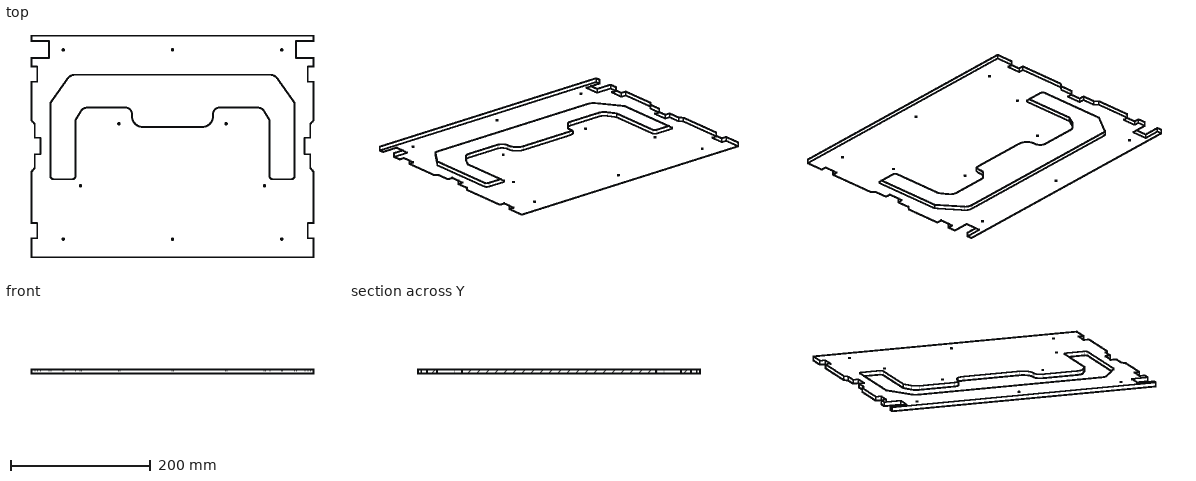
import cadquery as cq

length = 404.0
width = 317.0
thickness = 6.0
half_length = length / 2

corner_notch_depth = 25.0
corner_notch_bottom = 285.2
corner_notch_top = 309.5
tab_notch_depth = 8.0
tab_notch_height = 21.5
tab_notch_bottoms = (27.5, 251.3)

recess_middle = 159.0
recess_depth = 5.0
recess_mouth_half = 36.8
recess_floor_half = 31.5
slot_depth = 13.0
slot_half = 11.5

window_half_length = 174.5
window_bottom = 112.0
window_top = 261.0
window_corner_run = 28.3
window_corner_rise = 40.0
window_top_radius = 12.0
window_bottom_radius = 4.0

tongue_half_length = 139.0
tongue_top = 214.5
tongue_corner_run = 11.0
tongue_corner_rise = 18.0
tongue_corner_radius = 12.0
tongue_dip_half_length = 57.8
tongue_dip_bottom = 186.5
dip_top_radius = 10.0
dip_bottom_radius = 15.0

hole_diameter = 2.0
outer_hole_x = 156.5
outer_hole_rows = (26.0, 297.0)
tongue_hole = (76.8, 191.0)
shoulder_hole = (131.7, 102.2)


def prism(points):
    """Extrude a closed outline through the plate thickness."""
    return cq.Workplane("XY").polyline(points).close().extrude(thickness)


def block(x_min, x_max, y_min, y_max):
    """Rectangular cutter through the plate thickness."""
    return prism([(x_min, y_min), (x_max, y_min), (x_max, y_max), (x_min, y_max)])


def round_corners(body, corners, radius):
    """Fillet the vertical edges at the given corners and at their mirror images."""
    for x, y in corners:
        for side in (-1, 1):
            nearest = cq.selectors.NearestToPointSelector((side * x, y, thickness / 2))
            body = body.edges("|Z").edges(nearest).fillet(radius)
    return body


def edge_cutter():
    """All cutouts in the +X short edge."""
    cutter = block(half_length - corner_notch_depth, half_length, corner_notch_bottom, corner_notch_top)
    for bottom in tab_notch_bottoms:
        cutter = cutter.union(
            block(half_length - tab_notch_depth, half_length, bottom, bottom + tab_notch_height)
        )
    recess_floor_x = half_length - recess_depth
    recess = prism([
        (half_length, recess_middle - recess_mouth_half),
        (half_length, recess_middle + recess_mouth_half),
        (recess_floor_x, recess_middle + recess_floor_half),
        (recess_floor_x, recess_middle - recess_floor_half),
    ])
    slot = block(
        half_length - slot_depth, half_length, recess_middle - slot_half, recess_middle + slot_half
    )
    return cutter.union(recess).union(slot)


def window_frame():
    """Outer boundary of the window, with cut-off rear corners."""
    corner_x = window_half_length - window_corner_run
    frame = prism([
        (-window_half_length, window_bottom),
        (window_half_length, window_bottom),
        (window_half_length, window_top - window_corner_rise),
        (corner_x, window_top),
        (-corner_x, window_top),
        (-window_half_length, window_top - window_corner_rise),
    ])
    frame = round_corners(frame, [(corner_x, window_top)], window_top_radius)
    return round_corners(frame, [(window_half_length, window_bottom)], window_bottom_radius)


def tongue():
    """Solid left standing inside the window, with a dip in its rear edge."""
    corner_x = tongue_half_length - tongue_corner_run
    shoulder_y = tongue_top - tongue_corner_rise
    body = prism([
        (-tongue_half_length, window_bottom),
        (tongue_half_length, window_bottom),
        (tongue_half_length, shoulder_y),
        (corner_x, tongue_top),
        (tongue_dip_half_length, tongue_top),
        (tongue_dip_half_length, tongue_dip_bottom),
        (-tongue_dip_half_length, tongue_dip_bottom),
        (-tongue_dip_half_length, tongue_top),
        (-corner_x, tongue_top),
        (-tongue_half_length, shoulder_y),
    ])
    body = round_corners(body, [(corner_x, tongue_top)], tongue_corner_radius)
    body = round_corners(body, [(tongue_dip_half_length, tongue_top)], dip_top_radius)
    return round_corners(body, [(tongue_dip_half_length, tongue_dip_bottom)], dip_bottom_radius)


def window():
    """U-shaped window with rounded leg ends."""
    opening = window_frame().cut(tongue())
    return round_corners(opening, [(tongue_half_length, window_bottom)], window_bottom_radius)


def pin_holes():
    """Cutter for all the pin holes."""
    centers = [(x, y) for x in (-outer_hole_x, 0, outer_hole_x) for y in outer_hole_rows]
    for x, y in (tongue_hole, shoulder_hole):
        centers += [(-x, y), (x, y)]
    return cq.Workplane("XY").pushPoints(centers).circle(hole_diameter / 2).extrude(thickness)


plate = block(-half_length, half_length, 0, width)
right_cutter = edge_cutter()
plate = plate.cut(right_cutter).cut(right_cutter.mirror("YZ"))
plate = plate.cut(window()).cut(pin_holes())

result = plate.translate((0, -width / 2, -thickness / 2))